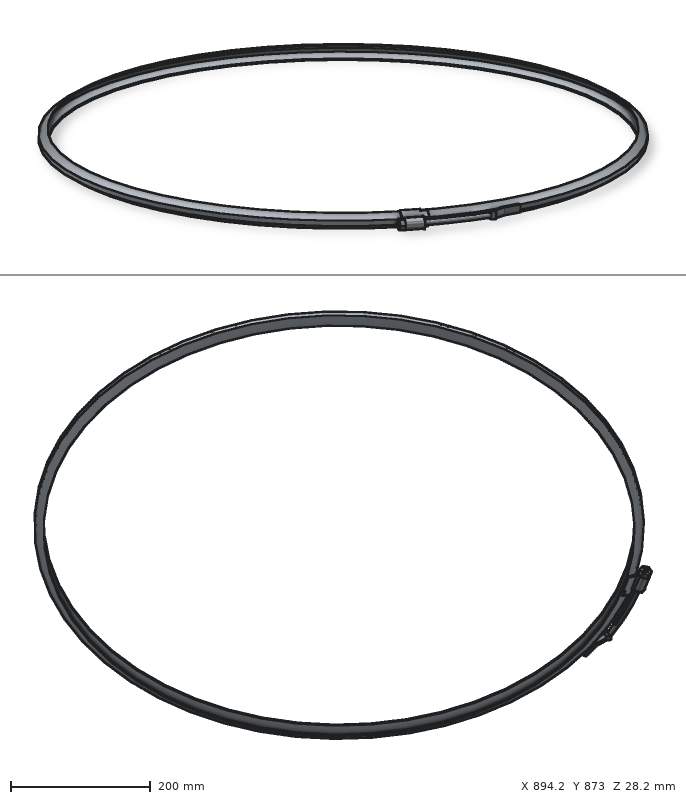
import cadquery as cq
import math

overall_length_x = 894.24
ring_diameter = 872.97
overall_height = 28.24

ring_edge_radius = 423.3
ring_half_height = 12.0
ring_flat_half_height = 4.0
ring_sheet = 2.0

saddle_top_y = -0.8
saddle_bottom_y = -30.0
tongue_top_y = 10.0
web_half_height = 6.5
barrel_diameter = 17.9
flange_thickness = 1.0

guide_inner_radius = 439.5
guide_half_height = 5.0
guide_start_angle = -0.5
guide_end_angle = 10.0

bolt_radius = 447.5
bolt_diameter = 8.0
bolt_angle = 13.0
core_diameter = 6.65
bolt_tip_length = 2.5
bolt_tip_chamfer = 1.2

nut_length = 8.0

strap_end_angle = 20.0
strap_lift_angle = 16.5
strap_thickness = 5.0
strap_half_height = 6.0
lifted_strap_thickness = 4.0
eye_angle = 13.6
eye_diameter = 9.0

ring_outer_radius = ring_diameter / 2
flange_tip_x = overall_length_x - ring_outer_radius
flange_across_corners = 2 * (flange_tip_x - bolt_radius)

cone_run = ring_outer_radius - ring_edge_radius
cone_rise = ring_half_height - ring_flat_half_height
cone_slope = cone_rise / cone_run
cone_length = math.hypot(cone_run, cone_rise)
cone_cos = cone_run / cone_length
cone_sin = cone_rise / cone_length
saddle_sheet = (overall_height / 2 - ring_half_height) / cone_cos

barrel_length = saddle_top_y - saddle_bottom_y
nut_across_corners = barrel_diameter
core_length = nut_length + bolt_tip_length


def polar(radius, angle):
    """Point in the XY plane at a radius and an angle in degrees."""
    turn = math.radians(angle)
    return (radius * math.cos(turn), radius * math.sin(turn))


def mirrored(upper):
    """Outline symmetric about Z = 0, from its points on the upper side."""
    return upper + [(x, -z) for x, z in reversed(upper)]


def channel_points(offset):
    """Upper edge and wall points of the ring's outer face, moved outwards by an offset."""
    edge = (ring_edge_radius + offset * cone_sin, ring_half_height + offset * cone_cos)
    wall_radius = ring_outer_radius + offset
    wall_height = edge[1] - (wall_radius - edge[0]) * cone_slope
    return [edge, (wall_radius, wall_height)]


def revolved(points, angle=360):
    """Profile in the XZ plane turned about Z, starting on +X and going towards +Y."""
    profile = cq.Workplane("XZ").polyline(points).close()
    return profile.revolve(angle, (0, 0, 0), (0, 1, 0))


def block(x_start, x_end, y_bottom, y_top, half_height):
    """Box between limits in X and Y, centred on Z = 0."""
    size = (x_end - x_start, y_top - y_bottom, 2 * half_height)
    box = cq.Workplane("XY").box(*size, centered=(False, False, True))
    return box.translate((x_start, y_bottom, 0))


def across_bolt(y_top):
    """Plane across the bolt axis at a height in Y; extrusions go towards -Y."""
    return cq.Workplane("XZ", origin=(bolt_radius, y_top, 0))


def make_ring():
    wall_radius, wall_height = channel_points(-ring_sheet)[1]
    edge_height = wall_height + (wall_radius - ring_edge_radius) * cone_slope
    inner_face = [(wall_radius, wall_height), (ring_edge_radius, edge_height)]
    section = mirrored(inner_face + channel_points(0))
    return revolved(section).rotate((0, 0, 0), (0, 0, 1), 180)


def make_cover():
    ring_edge, ring_wall = channel_points(0)
    band = revolved(mirrored([ring_wall, ring_edge] + channel_points(saddle_sheet)))
    main = block(0, flange_tip_x, saddle_bottom_y, saddle_top_y, overall_height / 2)
    tongue = block(0, flange_tip_x, saddle_top_y, tongue_top_y, ring_half_height)
    return band.intersect(main.union(tongue))


def make_guide():
    outer_radius = bolt_radius - bolt_diameter / 2
    upper = [(guide_inner_radius, guide_half_height), (outer_radius, guide_half_height)]
    guide = revolved(mirrored(upper), guide_end_angle - guide_start_angle)
    return guide.rotate((0, 0, 0), (0, 0, 1), guide_start_angle)


def make_saddle():
    web = block(ring_outer_radius, bolt_radius, saddle_bottom_y, saddle_top_y, web_half_height)
    barrel = across_bolt(saddle_top_y).circle(barrel_diameter / 2).extrude(barrel_length)
    flange = across_bolt(saddle_top_y).polygon(6, flange_across_corners).extrude(flange_thickness)
    bore = across_bolt(0).circle(bolt_diameter / 2).extrude(-saddle_bottom_y)
    solid_saddle = make_cover().union(web).union(barrel).union(flange).union(make_guide())
    return solid_saddle.cut(bore)


def make_bolt():
    ring_axis = ((-bolt_radius, 0, 0), (-bolt_radius, 1, 0))
    curved_shank = across_bolt(0).circle(bolt_diameter / 2).revolve(bolt_angle, *ring_axis)
    straight_shank = across_bolt(0).circle(bolt_diameter / 2).extrude(-saddle_bottom_y)
    core = across_bolt(saddle_bottom_y).circle(core_diameter / 2).extrude(core_length)
    core = core.faces("<Y").chamfer(bolt_tip_chamfer)
    return curved_shank.union(straight_shank).union(core)


def make_nut():
    blank = across_bolt(saddle_bottom_y).polygon(6, nut_across_corners).extrude(nut_length)
    thread_hole = across_bolt(saddle_bottom_y).circle(core_diameter / 2).extrude(nut_length)
    return blank.cut(thread_hole)


def make_strap():
    base = cq.Workplane("XY", origin=(0, 0, -strap_half_height))
    outer_radius = ring_outer_radius + strap_thickness
    middle_angle = (strap_lift_angle + strap_end_angle) / 2
    sheet = (
        base.moveTo(*polar(ring_outer_radius, strap_lift_angle))
        .threePointArc(
            polar(ring_outer_radius, middle_angle), polar(ring_outer_radius, strap_end_angle)
        )
        .lineTo(*polar(outer_radius, strap_end_angle))
        .threePointArc(polar(outer_radius, middle_angle), polar(outer_radius, strap_lift_angle))
        .lineTo(*polar(bolt_radius + lifted_strap_thickness / 2, eye_angle))
        .lineTo(*polar(bolt_radius - lifted_strap_thickness / 2, eye_angle))
        .close()
        .extrude(2 * strap_half_height)
    )
    eye = base.moveTo(*polar(bolt_radius, eye_angle)).circle(eye_diameter / 2)
    return sheet.union(eye.extrude(2 * strap_half_height))


ring = make_ring()
saddle = make_saddle()
bolt = make_bolt()
nut = make_nut()
strap = make_strap().cut(bolt)

bodies = [ring, saddle, bolt, nut, strap]
result = cq.Compound.makeCompound([body.solids().val() for body in bodies])